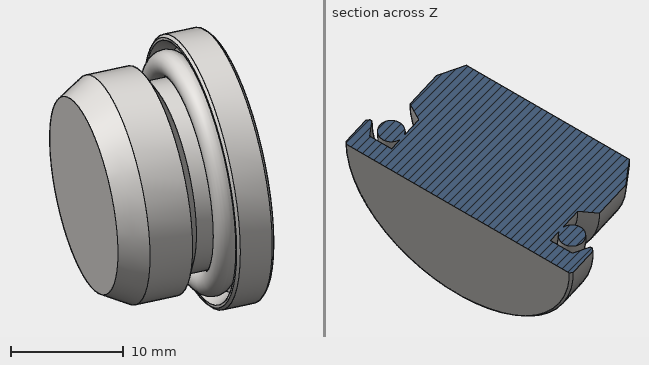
import cadquery as cq
import math

total_length = 13.5
slope_angle = math.radians(30)

flange_radius = 12.5
flange_thickness = 3.5
flange_chamfer = 0.25

neck_radius = 8.75
body_radius = 10.42
body_start = 7.0
nose_taper_length = 2.5

groove_mouth_radius = 12.0
groove_depth = 1.5
seal_outer_radius = 11.18
seal_projection = 1.3
seal_overlap = 0.05

shoulder_length = (body_radius - neck_radius) * math.tan(slope_angle)
nose_radius = body_radius - nose_taper_length * math.tan(slope_angle)
seal_section_radius = (seal_outer_radius - neck_radius + seal_overlap) / 2
seal_ring_radius = seal_outer_radius - seal_section_radius
seal_center = flange_thickness + seal_projection - seal_section_radius
groove_floor = flange_thickness - groove_depth
groove_floor_radius = groove_mouth_radius - groove_depth * math.tan(slope_angle)


def make_plug():
    """Flange with tapered face groove, neck, body and nose, revolved about Y."""
    profile = [
        (0, 0),
        (flange_radius - flange_chamfer, 0),
        (flange_radius, -flange_chamfer),
        (flange_radius, -(flange_thickness - flange_chamfer)),
        (flange_radius - flange_chamfer, -flange_thickness),
        (groove_mouth_radius, -flange_thickness),
        (groove_floor_radius, -groove_floor),
        (neck_radius, -groove_floor),
        (neck_radius, -(body_start - shoulder_length)),
        (body_radius, -body_start),
        (body_radius, -(total_length - nose_taper_length)),
        (nose_radius, -total_length),
        (0, -total_length),
    ]
    return cq.Workplane("XY").polyline(profile).close().revolve(360, (0, 0), (0, 1))


def make_seal_ring():
    """Round-section sealing ring gripping the neck inside the flange groove."""
    section = cq.Workplane("XY").center(seal_ring_radius, -seal_center).circle(seal_section_radius)
    return section.revolve(360, (-seal_ring_radius, 0), (-seal_ring_radius, 1))


result = make_plug().union(make_seal_ring())